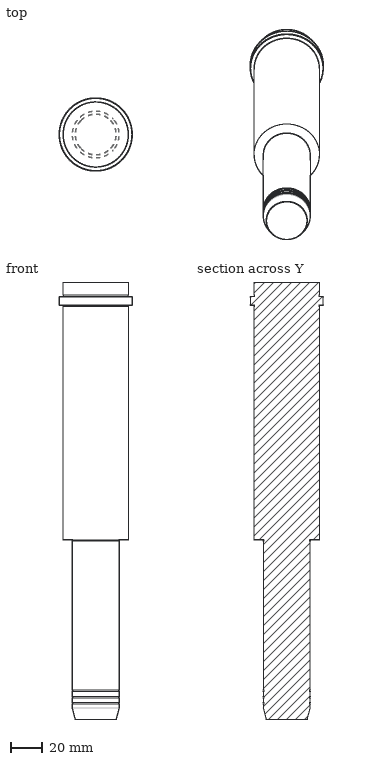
import cadquery as cq

total_length = 280.0
end_chamfer = 0.3

body_radius = 21.0
body_bottom = 115.0

collar_radius = 23.5
collar_top = 271.0
collar_height = 6.0
collar_bottom = collar_top - collar_height
collar_chamfer = 0.42

relief_width = 0.7

rod_radius = 15.0
groove_width = 1.0
groove_pitch = 4.0
groove_count = 3
lowest_groove_bottom = 10.0

groove_depth = 0.3

taper_height = 7.5
tip_radius = 13.2


def cylinder(radius, bottom, height):
    """Solid cylinder on the Z axis."""
    return cq.Workplane("XY").workplane(offset=bottom).circle(radius).extrude(height)


def cut_groove(shaft, radius, bottom, width):
    """Cut a shallow ring groove into a shaft of the given radius."""
    core = cylinder(radius - groove_depth, bottom, width)
    groove = cylinder(radius + groove_depth, bottom, width).cut(core)
    return shaft.cut(groove)


def make_rod():
    """Slim rod with a conical tip, grooves near its end and a relief under the body."""
    rod = (
        cq.Workplane("XZ")
        .lineTo(tip_radius, 0)
        .lineTo(rod_radius, taper_height)
        .lineTo(rod_radius, body_bottom)
        .lineTo(0, body_bottom)
        .close()
        .revolve(360, (0, 0), (0, 1))
    )
    rod = rod.faces("<Z").chamfer(end_chamfer)
    for index in range(groove_count):
        groove_bottom = lowest_groove_bottom + index * groove_pitch
        rod = cut_groove(rod, rod_radius, groove_bottom, groove_width)
    return cut_groove(rod, rod_radius, body_bottom - relief_width, relief_width)


def make_body():
    """Thick body with a chamfered top and a relief groove on each side of the collar."""
    body = cylinder(body_radius, body_bottom, total_length - body_bottom)
    body = body.faces(">Z").chamfer(end_chamfer)
    for relief_bottom in (collar_bottom - relief_width, collar_top):
        body = cut_groove(body, body_radius, relief_bottom, relief_width)
    return body


collar = cylinder(collar_radius, collar_bottom, collar_height)
collar = collar.faces("<Z or >Z").chamfer(collar_chamfer)

result = make_rod().union(make_body()).union(collar)